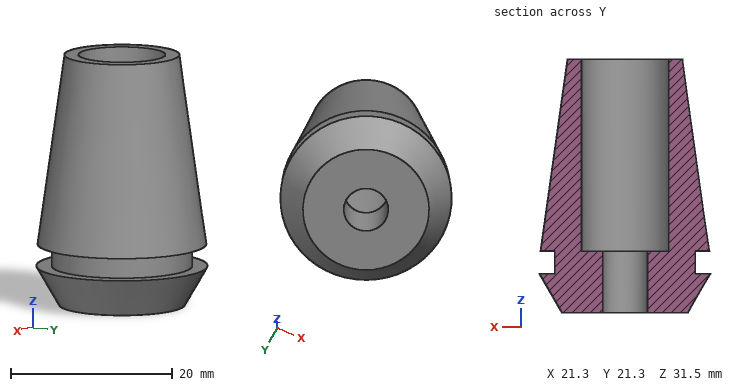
import cadquery as cq
import math

length = 31.5
collar_height = 4.88
groove_top = 7.65

collar_diameter = 21.3
taper_large_diameter = 21.0
groove_diameter = 17.48

taper_half_angle = 8.0
nose_half_angle = 30.0

wide_bore_diameter = 10.8
narrow_bore_diameter = 5.5
wide_bore_floor = groove_top


def cone_radius(large_radius, height, half_angle):
    """Radius at the small end of a cone."""
    return large_radius - height * math.tan(math.radians(half_angle))


def make_body():
    """Revolve the outline of the nose, groove and long taper about Z."""
    collar_radius = collar_diameter / 2
    groove_radius = groove_diameter / 2
    taper_radius = taper_large_diameter / 2
    nose_radius = cone_radius(collar_radius, collar_height, nose_half_angle)
    top_radius = cone_radius(taper_radius, length - groove_top, taper_half_angle)
    outline = [
        (0, 0),
        (nose_radius, 0),
        (collar_radius, collar_height),
        (groove_radius, collar_height),
        (groove_radius, groove_top),
        (taper_radius, groove_top),
        (top_radius, length),
        (0, length),
    ]
    return cq.Workplane("XZ").polyline(outline).close().revolve(360, (0, 0), (0, 1))


def make_bore():
    """Solid that removes both steps of the bore."""
    narrow = cq.Workplane("XY").circle(narrow_bore_diameter / 2).extrude(length)
    wide = (
        cq.Workplane("XY", origin=(0, 0, wide_bore_floor))
        .circle(wide_bore_diameter / 2)
        .extrude(length - wide_bore_floor)
    )
    return narrow.union(wide)


result = make_body().cut(make_bore())